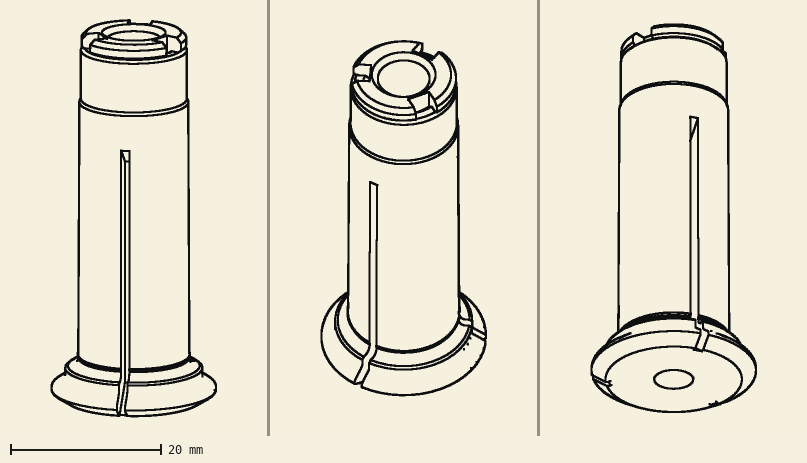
import cadquery as cq
import math

total_height = 50.5
rim_bottom = 1.05
rim_low = 1.3
rim_high = 1.6
collar_bottom = 3.35
collar_edge = 4.25
collar_top = 4.55
root_top = 5.15
root_groove_bottom = 5.6
root_groove_top = 5.75
lip_top = 6.05
shaft_top = 40.9
tube_bottom = 41.35
tube_edge = 48.1
tube_top = 48.5
head_bottom = 48.8
head_edge = 49.85

flange_radius = 21.95 / 2
rim_edge_radius = 10.75
face_radius = 9.1
collar_radius = 9.15
collar_edge_radius = 8.8
root_outer_radius = 8.35
root_inner_radius = 7.45
root_groove_radius = 7.3
lip_radius = 7.5
shaft_bottom_radius = 7.4
shaft_top_radius = 7.25
tube_radius = 7.05
neck_radius = 6.55
head_radius = 14.0 / 2
head_top_radius = 6.3

rim_round = 0.5
collar_root_round = 0.4

cone_angle = math.radians(35)
cone_top_radius = collar_radius + collar_root_round * (1 - math.sin(cone_angle))
cone_top = collar_bottom - collar_root_round * math.cos(cone_angle)
rim_top = cone_top - (rim_edge_radius - cone_top_radius) * math.tan(cone_angle)

through_radius = 5.2 / 2
bore_radius = 6.9 / 2
bore_mouth_radius = 4.25
bore_chamfer = 0.75
bore_depth = 20.2

slot_width = 1.1
slot_floor_radius = 8.2 / 2
slot_face_radius = 8.65
slot_floor_bottom = 3.3
slot_floor_top = 33.8
slot_slope = (slot_face_radius - slot_floor_radius) / slot_floor_bottom
slot_reach = 12.6
slot_count = 3
first_slot_angle = 60.0

notch_width = 3.1
notch_inner = 4.45
notch_reach = 7.6
notch_rim_radius = 10.9 / 2
notch_count = 3
countersink_depth = notch_rim_radius - slot_floor_radius


def arc_middle(start, end, radius):
    """Middle point of the shorter arc of the given radius, bulging right of start-to-end."""
    along_x = end[0] - start[0]
    along_z = end[1] - start[1]
    chord = math.hypot(along_x, along_z)
    rise = radius - math.sqrt(radius**2 - (chord / 2) ** 2)
    middle_x = (start[0] + end[0]) / 2 + rise * along_z / chord
    middle_z = (start[1] + end[1]) / 2 - rise * along_x / chord
    return middle_x, middle_z


def make_body():
    """Solid of revolution with flange, collar, tapered shaft, tube and head."""
    collar_root_start = (cone_top_radius, cone_top)
    collar_root_end = (collar_radius, collar_bottom)
    collar_root_middle = arc_middle(collar_root_end, collar_root_start, collar_root_round)
    root_start = (root_outer_radius, collar_top)
    root_end = (root_inner_radius, root_top)
    root_width = root_outer_radius - root_inner_radius
    root_height = root_top - collar_top
    root_radius = (root_width**2 + root_height**2) / (2 * root_height)
    root_middle = arc_middle(root_end, root_start, root_radius)
    lower_middle = arc_middle((rim_edge_radius, rim_bottom), (flange_radius, rim_low), rim_round)
    upper_middle = arc_middle((flange_radius, rim_high), (rim_edge_radius, rim_top), rim_round)
    profile = (
        cq.Workplane("XZ")
        .moveTo(0, 0)
        .lineTo(face_radius, 0)
        .lineTo(rim_edge_radius, rim_bottom)
        .threePointArc(lower_middle, (flange_radius, rim_low))
        .lineTo(flange_radius, rim_high)
        .threePointArc(upper_middle, (rim_edge_radius, rim_top))
        .lineTo(*collar_root_start)
        .threePointArc(collar_root_middle, collar_root_end)
        .lineTo(collar_radius, collar_edge)
        .lineTo(collar_edge_radius, collar_top)
        .lineTo(*root_start)
        .threePointArc(root_middle, root_end)
        .lineTo(root_groove_radius, root_groove_bottom)
        .lineTo(root_groove_radius, root_groove_top)
        .lineTo(lip_radius, lip_top)
        .lineTo(shaft_bottom_radius, lip_top)
        .lineTo(shaft_top_radius, shaft_top)
        .lineTo(tube_radius, tube_bottom)
        .lineTo(tube_radius, tube_edge)
        .lineTo(neck_radius, tube_top)
        .lineTo(head_radius, head_bottom)
        .lineTo(head_radius, head_edge)
        .lineTo(head_top_radius, total_height)
        .lineTo(0, total_height)
        .close()
    )
    return profile.revolve(360, (0, 0, 0), (0, 1, 0))


def make_bore():
    """Through hole, wider from the head down to a flat ledge, with a chamfered mouth."""
    ledge = total_height - bore_depth
    return (
        cq.Workplane("XZ")
        .moveTo(0, 0)
        .lineTo(through_radius, 0)
        .lineTo(through_radius, ledge)
        .lineTo(bore_radius, ledge)
        .lineTo(bore_radius, total_height - bore_chamfer)
        .lineTo(bore_mouth_radius, total_height)
        .lineTo(0, total_height)
        .close()
        .revolve(360, (0, 0, 0), (0, 1, 0))
    )


def make_slot():
    """One slot toward +X: a radial blade limited by a round floor and conical ends."""
    slope_rise = (slot_reach - slot_floor_radius) / slot_slope
    ring = (
        cq.Workplane("XZ")
        .moveTo(slot_floor_radius, slot_floor_bottom)
        .lineTo(slot_reach, slot_floor_bottom - slope_rise)
        .lineTo(slot_reach, slot_floor_top + slope_rise)
        .lineTo(slot_floor_radius, slot_floor_top)
        .close()
        .revolve(360, (0, 0, 0), (0, 1, 0))
    )
    blade = cq.Workplane("XY").box(slot_reach, slot_width, 3 * total_height, centered=(False, True, True))
    return ring.intersect(blade)


def make_notch():
    """One notch toward +X, open to the countersunk upper end of the tube."""
    block = (
        cq.Workplane("XY", origin=(notch_inner, 0, tube_top - countersink_depth))
        .box(notch_reach, notch_width, total_height, centered=(False, True, False))
    )
    opening = (
        cq.Workplane("XZ")
        .moveTo(0, tube_top - countersink_depth)
        .lineTo(slot_floor_radius, tube_top - countersink_depth)
        .lineTo(notch_rim_radius, tube_top)
        .lineTo(notch_inner + notch_reach, tube_top)
        .lineTo(notch_inner + notch_reach, total_height)
        .lineTo(0, total_height)
        .close()
        .revolve(360, (0, 0, 0), (0, 1, 0))
    )
    return block.intersect(opening)


result = make_body().cut(make_bore())

slot = make_slot()
for index in range(slot_count):
    result = result.cut(slot.rotate((0, 0, 0), (0, 0, 1), first_slot_angle + index * 360 / slot_count))

notch = make_notch()
for index in range(notch_count):
    result = result.cut(notch.rotate((0, 0, 0), (0, 0, 1), index * 360 / notch_count))